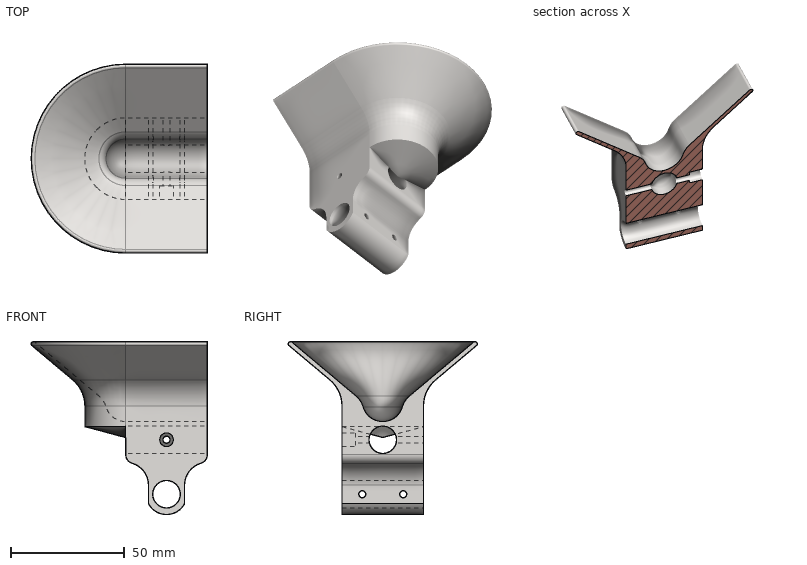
import cadquery as cq
import math


block_width = 36.0
half_width = block_width / 2

lug_radius = 9.0
lug_half_width = 8.0
lug_bore_diameter = 12.0
lug_shoulder_z = 4.0
shoulder_radius = half_width - lug_half_width
block_corner_radius = 4.0
set_screw_diameter = 3.0
set_screw_y = 9.0

cross_bore_z = 24.0
long_bore_diameter = 12.0
pin_diameter = 3.0
counterbore_diameter = 6.0
counterbore_depth = 6.0

rim_outer_radius = 41.645
rim_top_z = 67.2
wall_thickness = 2.0
wall_lean = math.radians(50)
flare_radius = 15.0
groove_radius = 9.0
groove_centre_z = 41.0
lip_radius = 10.0

bowl_base_z = 29.75
bowl_cone_angle = math.radians(15)

bowl_x = -half_width


def point_on_circle(centre, radius, angle):
    """Point at the given angle (radians, anticlockwise from the first axis)."""
    return (centre[0] + radius * math.cos(angle), centre[1] + radius * math.sin(angle))


def cradle_half_section(base_side_z, base_axis_z):
    """Right half of the cradle section as (distance from the mid-plane, Z), placed in the YZ plane.

    The base runs from base_axis_z at the mid-plane to base_side_z at the vertical side.
    """
    rim_radius = wall_thickness / 2
    rim_centre = (rim_outer_radius - rim_radius, rim_top_z - rim_radius)
    outward = -wall_lean
    inward = math.pi - wall_lean
    along_wall = math.pi / 2 - wall_lean
    rim_outer = point_on_circle(rim_centre, rim_radius, outward)
    rim_tip = point_on_circle(rim_centre, rim_radius, along_wall)
    rim_inner = point_on_circle(rim_centre, rim_radius, inward)

    flare_centre_r = half_width + flare_radius
    flare_end_r = flare_centre_r - flare_radius * math.cos(wall_lean)
    flare_end_z = rim_outer[1] - (rim_outer[0] - flare_end_r) / math.tan(wall_lean)
    flare_centre = (flare_centre_r, flare_end_z - flare_radius * math.sin(wall_lean))
    flare_start = (half_width, flare_centre[1])
    flare_middle = point_on_circle(flare_centre, flare_radius, math.pi - wall_lean / 2)
    flare_end = (flare_end_r, flare_end_z)

    groove_centre = (0.0, groove_centre_z)
    inner_r = rim_inner[0]
    inner_z = rim_inner[1] - groove_centre_z
    face_offset = inner_r * math.cos(inward) + inner_z * math.sin(inward)
    lip_offset = face_offset - lip_radius
    centre_distance = groove_radius + lip_radius
    lip_direction = inward - math.acos(lip_offset / centre_distance)
    lip_centre = point_on_circle(groove_centre, centre_distance, lip_direction)
    lip_top = point_on_circle(lip_centre, lip_radius, inward)
    lip_middle = point_on_circle(lip_centre, lip_radius, (inward + lip_direction + math.pi) / 2)
    groove_edge = point_on_circle(groove_centre, groove_radius, lip_direction)
    groove_middle = point_on_circle(groove_centre, groove_radius, (lip_direction - math.pi / 2) / 2)
    groove_bottom = (0.0, groove_centre_z - groove_radius)

    return (
        cq.Workplane("YZ", origin=(bowl_x, 0, 0))
        .moveTo(0, base_axis_z)
        .lineTo(half_width, base_side_z)
        .lineTo(*flare_start)
        .threePointArc(flare_middle, flare_end)
        .lineTo(*rim_outer)
        .threePointArc(rim_tip, rim_inner)
        .lineTo(*lip_top)
        .threePointArc(lip_middle, groove_edge)
        .threePointArc(groove_middle, groove_bottom)
        .close()
    )


def make_trough():
    """Straight part of the cradle, flat underneath where it meets the block."""
    half = cradle_half_section(bowl_base_z, bowl_base_z).extrude(block_width)
    return half.union(half.mirror("XZ"))


def make_half_bowl():
    """Closed end of the cradle, turned about a vertical axis on the -X face of the block."""
    cone_drop = half_width * math.tan(bowl_cone_angle)
    section = cradle_half_section(bowl_base_z, bowl_base_z - cone_drop)
    return section.revolve(180, (0, 0, 0), (0, 1, 0))


def make_block():
    """Block and clamp lug: one outline in XZ, extruded across the full width."""
    shoulder_centre = (half_width, lug_shoulder_z)
    corner_x = half_width - block_corner_radius
    reach = shoulder_radius + block_corner_radius
    corner_rise = math.sqrt(reach**2 - block_corner_radius**2)
    corner_centre = (corner_x, lug_shoulder_z + corner_rise)
    join_angle = math.atan2(corner_rise, -block_corner_radius)
    join = point_on_circle(shoulder_centre, shoulder_radius, join_angle)
    shoulder_middle = point_on_circle(shoulder_centre, shoulder_radius, (join_angle + math.pi) / 2)
    corner_middle = point_on_circle(corner_centre, block_corner_radius, (join_angle - math.pi) / 2)
    lug_flat_z = -math.sqrt(lug_radius**2 - lug_half_width**2)
    lug_middle_angle = (math.atan2(lug_flat_z, lug_half_width) - math.pi / 2) / 2

    half = (
        cq.Workplane("XZ", origin=(0, half_width, 0))
        .moveTo(0, -lug_radius)
        .threePointArc(
            point_on_circle((0, 0), lug_radius, lug_middle_angle),
            (lug_half_width, lug_flat_z),
        )
        .lineTo(lug_half_width, lug_shoulder_z)
        .threePointArc(shoulder_middle, join)
        .threePointArc(corner_middle, (half_width, corner_centre[1]))
        .lineTo(half_width, bowl_base_z)
        .lineTo(0, bowl_base_z)
        .close()
        .extrude(block_width)
    )
    return half.union(half.mirror("YZ"))


def bore_along_x(diameter, y, z):
    """Bore right through the block from its -X face."""
    return cq.Workplane("YZ", origin=(-half_width, y, z)).circle(diameter / 2).extrude(block_width)


def bore_along_y(diameter, z, depth):
    """Bore starting at the -Y face of the block."""
    return cq.Workplane("XZ", origin=(0, -half_width, z)).circle(diameter / 2).extrude(-depth)


body = make_block().union(make_trough())
body = body.cut(bore_along_y(lug_bore_diameter, 0, block_width))
body = body.cut(bore_along_y(pin_diameter, cross_bore_z, block_width))
body = body.cut(bore_along_y(counterbore_diameter, cross_bore_z, counterbore_depth))
body = body.cut(bore_along_x(long_bore_diameter, 0, cross_bore_z))
for side in (-1, 1):
    body = body.cut(bore_along_x(set_screw_diameter, side * set_screw_y, 0))

result = body.union(make_half_bowl())